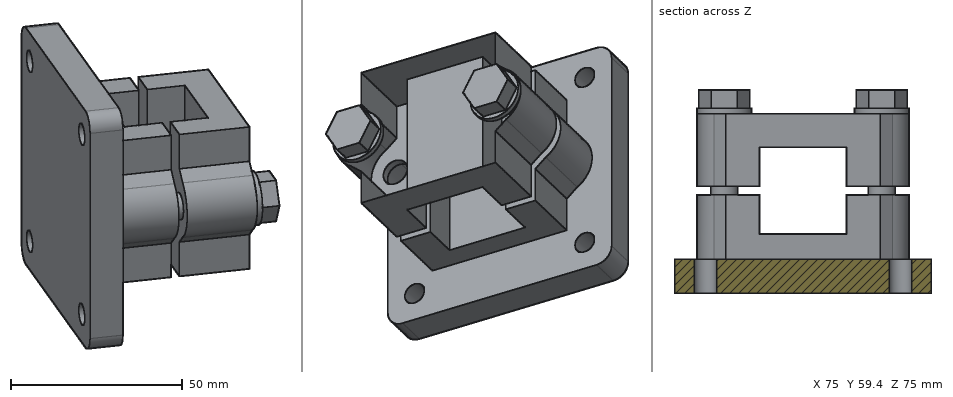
import cadquery as cq
import math

PLATE_SIDE = 75.0
PLATE_THICKNESS = 10.0
PLATE_CORNER_RADIUS = 5.0
MOUNTING_HOLE_DIAMETER = 6.5
MOUNTING_HOLE_PITCH = 57.0

CLAMP_SIDE = 45.0
CLAMP_DEPTH = 42.5
BORE_SIDE = 25.3
SPLIT_GAP = 2.5
BORE_CENTRE_Y = 30.0
CLAMP_TOP_Y = PLATE_THICKNESS + CLAMP_DEPTH

LUG_RADIUS = 10.0
LUG_REACH = 31.0
LUG_CENTRE_X = LUG_REACH - LUG_RADIUS
LUG_ARC_HALF_ANGLE = math.radians(60)
LUG_ROOT_HALF_HEIGHT = 11.6

BOLT_X = 23.0
BOLT_DIAMETER = 8.0
WASHER_DIAMETER = 16.0
WASHER_THICKNESS = 1.6
HEAD_ACROSS_FLATS = 13.0
HEAD_SIDES = 6
HEAD_ACROSS_CORNERS = HEAD_ACROSS_FLATS / math.cos(math.pi / HEAD_SIDES)
HEAD_HEIGHT = 5.3


def section_at(y):
    """Sketch plane across the bolt axes: local x along +X, local y along -Z, extruding towards +Y."""
    return cq.Workplane(cq.Plane(origin=(0, y, 0), xDir=(1, 0, 0), normal=(0, 1, 0)))


def make_plate():
    plate = section_at(0).rect(PLATE_SIDE, PLATE_SIDE).extrude(PLATE_THICKNESS)
    plate = plate.edges("|Y").fillet(PLATE_CORNER_RADIUS)
    holes = (
        section_at(0)
        .rect(MOUNTING_HOLE_PITCH, MOUNTING_HOLE_PITCH, forConstruction=True)
        .vertices()
        .circle(MOUNTING_HOLE_DIAMETER / 2)
        .extrude(PLATE_THICKNESS)
    )
    return plate.cut(holes)


def make_lug(side):
    """Lug on one side of the block; side is +1 for +X or -1 for -X."""
    root_x = side * CLAMP_SIDE / 2
    arc_end_x = side * (LUG_CENTRE_X + LUG_RADIUS * math.cos(LUG_ARC_HALF_ANGLE))
    arc_end_z = LUG_RADIUS * math.sin(LUG_ARC_HALF_ANGLE)
    return (
        section_at(PLATE_THICKNESS)
        .moveTo(root_x, -LUG_ROOT_HALF_HEIGHT)
        .lineTo(arc_end_x, -arc_end_z)
        .threePointArc((side * LUG_REACH, 0), (arc_end_x, arc_end_z))
        .lineTo(root_x, LUG_ROOT_HALF_HEIGHT)
        .close()
        .extrude(CLAMP_DEPTH)
    )


def make_clamp():
    clamp = section_at(PLATE_THICKNESS).rect(CLAMP_SIDE, CLAMP_SIDE).extrude(CLAMP_DEPTH)
    for side in (-1, 1):
        clamp = clamp.union(make_lug(side))
    bore = cq.Workplane("XY").box(BORE_SIDE, BORE_SIDE, CLAMP_SIDE)
    split = cq.Workplane("XY").box(2 * LUG_REACH, SPLIT_GAP, CLAMP_SIDE)
    return clamp.cut(bore.union(split).translate((0, BORE_CENTRE_Y, 0)))


def make_bolt(x):
    """Bolt with washer; the shank joins both clamp halves."""
    shank = section_at(PLATE_THICKNESS).circle(BOLT_DIAMETER / 2).extrude(CLAMP_DEPTH)
    washer = section_at(CLAMP_TOP_Y).circle(WASHER_DIAMETER / 2).extrude(WASHER_THICKNESS)
    head_plane = section_at(CLAMP_TOP_Y + WASHER_THICKNESS)
    head = head_plane.polygon(HEAD_SIDES, HEAD_ACROSS_CORNERS).extrude(HEAD_HEIGHT)
    return shank.union(washer).union(head).translate((x, 0, 0))


result = make_plate().union(make_clamp())
for bolt_x in (-BOLT_X, BOLT_X):
    result = result.union(make_bolt(bolt_x))